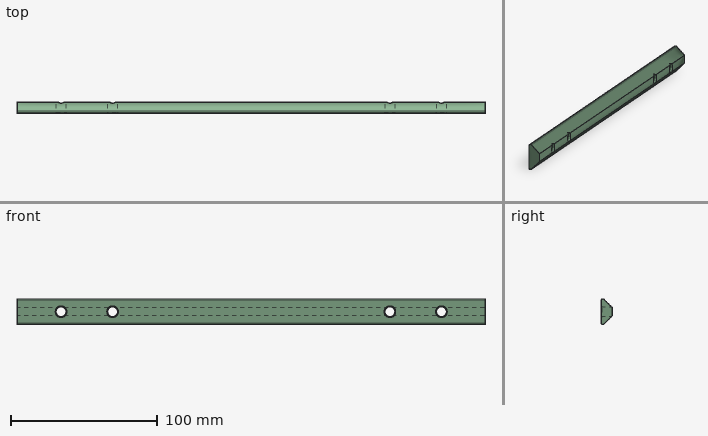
import cadquery as cq
import math

length = 319.0
depth = 7.5
height = 17.5

edge_radius = 1.12

hole_diameter = 6.7
countersink_diameter = 8.0
countersink_angle = 90
inner_hole_offset = 94.5
outer_hole_offset = 129.5

front_y = -depth / 2
back_y = depth / 2
half_height = height / 2

half_front = half_height - edge_radius
round_centre_y = front_y + edge_radius
diagonal_reach = edge_radius * math.sqrt(0.5)
flank_start_y = round_centre_y + diagonal_reach
half_flank_start = half_front + diagonal_reach
half_back = half_flank_start - (back_y - flank_start_y)


def make_rail():
    """Extrude the dovetail section along X."""
    section = (
        cq.Workplane("YZ")
        .moveTo(front_y, half_front)
        .threePointArc((round_centre_y, half_height), (flank_start_y, half_flank_start))
        .lineTo(back_y, half_back)
        .lineTo(back_y, -half_back)
        .lineTo(flank_start_y, -half_flank_start)
        .threePointArc((round_centre_y, -half_height), (front_y, -half_front))
        .close()
    )
    return section.extrude(length / 2, both=True)


def drill_holes(rail):
    """Drill the through holes from the front, each with a countersink."""
    offsets = (inner_hole_offset, outer_hole_offset)
    centres = [(side * offset, 0) for side in (-1, 1) for offset in offsets]
    return (
        rail.faces("<Y")
        .workplane(origin=(0, front_y, 0))
        .pushPoints(centres)
        .cskHole(hole_diameter, countersink_diameter, countersink_angle)
    )


result = drill_holes(make_rail())